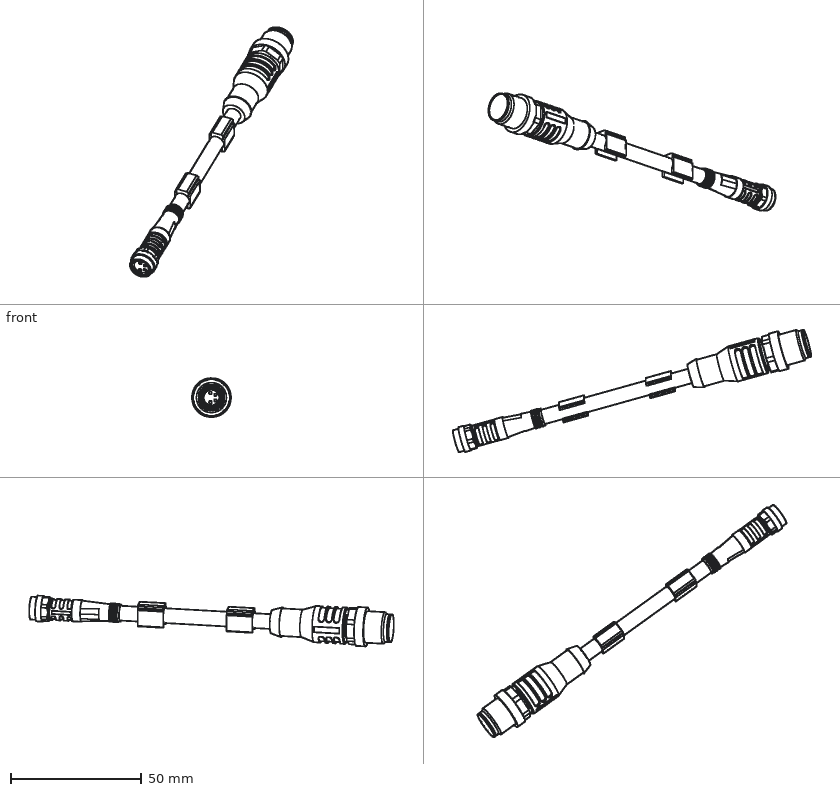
import cadquery as cq
import math

LENGTH = 140.6
CABLE_DIA = 5.8

PLUG_TIP_DIA = 10.8
PLUG_TIP_GROOVE_DIA = 10.3
PLUG_TIP_LAND = 0.4
PLUG_TIP_LENGTH = 2.1
PLUG_THREAD_DIA = 12.2
PLUG_THREAD_CHAMFER = (PLUG_THREAD_DIA - PLUG_TIP_DIA) / 2
PLUG_COLLAR_DIA = 15.0
PLUG_COLLAR_FRONT = 130.9
PLUG_COLLAR_BACK = 127.4
PLUG_HEX_BACK = 124.3
PLUG_HEX_FLATS = 13.2
PLUG_HEX_DIA = 14.3
PLUG_NECK_DIA = 8.7
PLUG_GRIP_DIA = 14.0
PLUG_GRIP_FRONT = 123.2
PLUG_GRIP_BACK = 111.0
PLUG_GRIP_CHAMFER = 0.4
PLUG_SLEEVE_DIA = 10.7
PLUG_SLEEVE_FRONT = 105.9
PLUG_FLANGE_DIA = 11.5
PLUG_FLANGE_Y = 97.9
PLUG_TAIL_DIA = 9.1
PLUG_BACK = 93.9

SOCKET_RING_DIA = 8.9
SOCKET_COLLAR_DIA = 10.0
SOCKET_COLLAR_FRONT = 2.4
SOCKET_COLLAR_BACK = 4.6
SOCKET_HEX_FLATS = 8.9
SOCKET_HEX_DIA = 9.5
SOCKET_HEX_BACK = 7.3
SOCKET_HEX_CHAMFER = 0.4
SOCKET_NECK_DIA = 8.0
SOCKET_NECK_LENGTH = 0.5
SOCKET_GRIP_DIA = 8.3
SOCKET_GRIP_BACK = 16.6
SOCKET_SHOULDER_DIA = 8.5
SOCKET_SHOULDER_BACK = 19.8
SOCKET_CONE_DIA = 8.0
SOCKET_TAIL_DIA = 6.5
SOCKET_TAIL_Y = 31.0
SOCKET_BACK = 34.9

MOUTH_DIA = 8.0
BORE_DIA = 7.2
BORE_DEPTH = 4.2
INSERT_DIA = 5.9
INSERT_SETBACK = 0.7
CONTACT_DEPTH = 2.8
CONTACT_RADIUS = 1.8
CONTACTS = [(1.0, 35.0), (1.1, 103.0)]

GRIP_SLOT_COUNT = 3
PLUG_SLOT_MIDDLE = 117.3
PLUG_SLOT_PITCH = 3.0
PLUG_SLOT_WIDTH = 2.2
PLUG_SLOT_END_Z = 3.0
PLUG_SLOT_DEPTH = 0.5
PLUG_WINDOW_MIDDLE = 116.5
PLUG_WINDOW_LENGTH = 9.8
PLUG_WINDOW_HEIGHT = 2.2
SOCKET_SLOT_MIDDLE = 12.4
SOCKET_SLOT_PITCH = 3.1
SOCKET_SLOT_WIDTH = 1.5
SOCKET_SLOT_END_Z = 1.5
SOCKET_SLOT_DEPTH = 0.4
SOCKET_WINDOW_MIDDLE = 12.5
SOCKET_WINDOW_LENGTH = 7.6
SOCKET_WINDOW_HEIGHT = 1.3
WINDOW_DEPTH = 0.4

ROOF_BACK = 27.0
ROOF_HALF_HEIGHT = 3.1
ROOF_DROP = 0.8
ROOF_STEP = 0.1

RELIEF_RING_DIA = 7.2
RELIEF_RING_WIDTH = 0.5
RELIEF_RING_COUNT = 3
RELIEF_RING_PITCH = 1.3
RELIEF_RIB_DIA = 6.7
RELIEF_RIB_WIDTH_X = 1.4
RELIEF_RIB_WIDTH_Z = 2.2

CLIP_CENTRES = [47.1, 81.8]
CLIP_LENGTH = 10.0
CLIP_HALF_WIDTH = 3.2
CLIP_TOP_HALF_WIDTH = 1.8
CLIP_TOP = 4.5
CLIP_TOP_SLOPE = 0.4
CLIP_CAP_HALF_WIDTH = 2.7
CLIP_SHOULDER = 3.2
CLIP_LEDGE = 2.5
CLIP_GROOVE_DEPTH = 0.8
CLIP_BOTTOM = -4.1
CLIP_BOTTOM_CHAMFER = 0.4
CLIP_CHANNEL_HALF_WIDTH = 2.1


def turned(profile):
    """Solid of revolution about Y from (diameter, y) pairs."""
    points = [(diameter / 2, y) for diameter, y in profile]
    outline = [(0, profile[0][1])] + points + [(0, profile[-1][1])]
    return cq.Workplane("XY").polyline(outline).close().revolve(360, (0, 0, 0), (0, 1, 0))


def cylinder(diameter, y_start, y_end):
    return turned([(diameter, y_start), (diameter, y_end)])


def tube(outer, inner, y_start, y_end):
    return cylinder(outer, y_start, y_end).cut(cylinder(inner, y_start, y_end))


def block(size_x, size_y, size_z, x, y, z):
    return cq.Workplane("XY").box(size_x, size_y, size_z).translate((x, y, z))


def prism(points, y_start, y_end):
    """Extrude an (x, z) outline from y_start to y_end."""
    plane = cq.Workplane("XZ", origin=(0, y_end, 0))
    return plane.polyline(points).close().extrude(y_end - y_start)


def hexagon(flats, y_start, y_end):
    """Hexagonal prism with flats facing -X and +X."""
    corner_radius = flats / math.sqrt(3)
    angles = [math.radians(30 + 60 * i) for i in range(6)]
    points = [(corner_radius * math.cos(a), corner_radius * math.sin(a)) for a in angles]
    return prism(points, y_start, y_end)


def grip_slots(grip_dia, middle, pitch, width, end_z, depth):
    """Shallow grooves above and below the grip with rounded ends at height end_z."""
    first = middle - pitch * (GRIP_SLOT_COUNT - 1) / 2
    span = pitch * GRIP_SLOT_COUNT
    centre_z = end_z + grip_dia / 2
    shell = tube(2 * grip_dia, grip_dia - 2 * depth, middle - span, middle + span)
    centres = [
        (first + i * pitch, side * centre_z)
        for i in range(GRIP_SLOT_COUNT)
        for side in (-1, 1)
    ]
    sketch = cq.Workplane("YZ").pushPoints(centres)
    slots = sketch.slot2D(grip_dia, width, 90).extrude(grip_dia, both=True)
    return shell.intersect(slots)


def grip_windows(grip_dia, middle, length, height):
    """Flat-bottomed rectangular recesses on the -X and +X sides of the grip."""
    x = grip_dia / 2 - WINDOW_DEPTH + grip_dia / 4
    left = block(grip_dia / 2, length, height, -x, middle, 0)
    right = block(grip_dia / 2, length, height, x, middle, 0)
    return left.union(right)


def plug():
    tip_back = LENGTH - PLUG_TIP_LENGTH
    groove_front = LENGTH - PLUG_TIP_LAND
    groove_back = groove_front - PLUG_TIP_LAND
    body = turned([
        (PLUG_TAIL_DIA, PLUG_BACK),
        (PLUG_FLANGE_DIA, PLUG_FLANGE_Y),
        (PLUG_SLEEVE_DIA, PLUG_FLANGE_Y),
        (PLUG_SLEEVE_DIA, PLUG_SLEEVE_FRONT),
        (PLUG_GRIP_DIA, PLUG_GRIP_BACK),
        (PLUG_GRIP_DIA, PLUG_GRIP_FRONT - PLUG_GRIP_CHAMFER),
        (PLUG_GRIP_DIA - 2 * PLUG_GRIP_CHAMFER, PLUG_GRIP_FRONT),
        (PLUG_NECK_DIA, PLUG_GRIP_FRONT),
        (PLUG_NECK_DIA, PLUG_COLLAR_BACK),
        (PLUG_COLLAR_DIA, PLUG_COLLAR_BACK),
        (PLUG_COLLAR_DIA, PLUG_COLLAR_FRONT),
        (PLUG_THREAD_DIA, PLUG_COLLAR_FRONT),
        (PLUG_THREAD_DIA, tip_back - PLUG_THREAD_CHAMFER),
        (PLUG_TIP_DIA, tip_back),
        (PLUG_TIP_DIA, groove_back),
        (PLUG_TIP_GROOVE_DIA, groove_back),
        (PLUG_TIP_GROOVE_DIA, groove_front),
        (PLUG_TIP_DIA, groove_front),
        (PLUG_TIP_DIA, LENGTH),
    ])
    nut = hexagon(PLUG_HEX_FLATS, PLUG_HEX_BACK, PLUG_COLLAR_BACK)
    nut = nut.intersect(cylinder(PLUG_HEX_DIA, PLUG_HEX_BACK, PLUG_COLLAR_BACK))
    slots = grip_slots(
        PLUG_GRIP_DIA,
        PLUG_SLOT_MIDDLE,
        PLUG_SLOT_PITCH,
        PLUG_SLOT_WIDTH,
        PLUG_SLOT_END_Z,
        PLUG_SLOT_DEPTH,
    )
    windows = grip_windows(
        PLUG_GRIP_DIA, PLUG_WINDOW_MIDDLE, PLUG_WINDOW_LENGTH, PLUG_WINDOW_HEIGHT
    )
    return body.union(nut).cut(slots).cut(windows)


def roof_recess():
    """Cutter for the -X side that leaves two tapering planes meeting at a ridge on Z = 0."""
    outside = -SOCKET_SHOULDER_DIA
    taper = (SOCKET_CONE_DIA - SOCKET_TAIL_DIA) / (SOCKET_TAIL_Y - SOCKET_SHOULDER_BACK)
    length = ROOF_BACK - SOCKET_SHOULDER_BACK
    front_ridge = SOCKET_CONE_DIA / 2
    back_ridge = front_ridge - taper * length / 2 - ROOF_STEP

    def outline(ridge):
        return [
            (-ridge, 0),
            (ROOF_DROP - ridge, ROOF_HALF_HEIGHT),
            (outside, ROOF_HALF_HEIGHT),
            (outside, -ROOF_HALF_HEIGHT),
            (ROOF_DROP - ridge, -ROOF_HALF_HEIGHT),
        ]

    back = cq.Workplane("XZ", origin=(0, ROOF_BACK, 0)).polyline(outline(back_ridge)).close()
    front = back.workplane(offset=length).polyline(outline(front_ridge)).close()
    return front.loft(ruled=True, combine=True)


def strain_relief():
    """Rings around the cable exit joined by four ribs along Y."""
    length = SOCKET_BACK - SOCKET_TAIL_Y
    middle = (SOCKET_BACK + SOCKET_TAIL_Y) / 2
    relief = cylinder(SOCKET_TAIL_DIA, SOCKET_TAIL_Y, SOCKET_BACK)
    for i in range(RELIEF_RING_COUNT):
        y = SOCKET_TAIL_Y + RELIEF_RING_PITCH * i
        relief = relief.union(cylinder(RELIEF_RING_DIA, y, y + RELIEF_RING_WIDTH))
    ribs = block(RELIEF_RIB_WIDTH_X, length, RELIEF_RING_DIA, 0, middle, 0)
    ribs = ribs.union(block(RELIEF_RING_DIA, length, RELIEF_RIB_WIDTH_Z, 0, middle, 0))
    envelope = cylinder(RELIEF_RIB_DIA, SOCKET_TAIL_Y, SOCKET_BACK)
    return relief.union(ribs.intersect(envelope))


def socket_mouth():
    """Chamfered bore around the contact insert, with the four contact holes."""
    mouth_chamfer = (MOUTH_DIA - BORE_DIA) / 2
    bore = turned([(MOUTH_DIA, 0), (BORE_DIA, mouth_chamfer), (BORE_DIA, BORE_DEPTH)])
    cavity = bore.cut(cylinder(INSERT_DIA, INSERT_SETBACK, BORE_DEPTH))
    for hole_dia, angle in CONTACTS:
        x = CONTACT_RADIUS * math.cos(math.radians(angle))
        z = CONTACT_RADIUS * math.sin(math.radians(angle))
        hole = cylinder(hole_dia, 0, INSERT_SETBACK + CONTACT_DEPTH)
        cavity = cavity.union(hole.translate((x, 0, z))).union(hole.translate((x, 0, -z)))
    return cavity


def socket():
    neck_back = SOCKET_HEX_BACK + SOCKET_NECK_LENGTH
    body = turned([
        (SOCKET_RING_DIA, 0),
        (SOCKET_RING_DIA, SOCKET_COLLAR_FRONT),
        (SOCKET_COLLAR_DIA, SOCKET_COLLAR_FRONT),
        (SOCKET_COLLAR_DIA, SOCKET_COLLAR_BACK),
        (SOCKET_NECK_DIA, SOCKET_COLLAR_BACK),
        (SOCKET_NECK_DIA, neck_back),
        (SOCKET_GRIP_DIA, neck_back),
        (SOCKET_GRIP_DIA, SOCKET_GRIP_BACK),
        (SOCKET_SHOULDER_DIA, SOCKET_GRIP_BACK),
        (SOCKET_SHOULDER_DIA, SOCKET_SHOULDER_BACK),
        (SOCKET_CONE_DIA, SOCKET_SHOULDER_BACK),
        (SOCKET_TAIL_DIA, SOCKET_TAIL_Y),
    ])
    nut = hexagon(SOCKET_HEX_FLATS, SOCKET_COLLAR_BACK, SOCKET_HEX_BACK)
    nut = nut.intersect(turned([
        (SOCKET_HEX_DIA, SOCKET_COLLAR_BACK),
        (SOCKET_HEX_DIA, SOCKET_HEX_BACK - SOCKET_HEX_CHAMFER),
        (SOCKET_HEX_DIA - 2 * SOCKET_HEX_CHAMFER, SOCKET_HEX_BACK),
    ]))
    slots = grip_slots(
        SOCKET_GRIP_DIA,
        SOCKET_SLOT_MIDDLE,
        SOCKET_SLOT_PITCH,
        SOCKET_SLOT_WIDTH,
        SOCKET_SLOT_END_Z,
        SOCKET_SLOT_DEPTH,
    )
    windows = grip_windows(
        SOCKET_GRIP_DIA, SOCKET_WINDOW_MIDDLE, SOCKET_WINDOW_LENGTH, SOCKET_WINDOW_HEIGHT
    )
    recess = roof_recess()
    body = body.union(nut).cut(slots).cut(windows)
    body = body.cut(recess).cut(recess.mirror("YZ"))
    return body.union(strain_relief()).cut(socket_mouth())


def label_clip(centre):
    """Clip on the cable, open below, with sloped top edges and an undercut groove along each side."""
    groove_x = CLIP_HALF_WIDTH - CLIP_GROOVE_DEPTH
    right_side = [
        (CLIP_CHANNEL_HALF_WIDTH, 0),
        (CLIP_CHANNEL_HALF_WIDTH, CLIP_BOTTOM),
        (CLIP_HALF_WIDTH - CLIP_BOTTOM_CHAMFER, CLIP_BOTTOM),
        (CLIP_HALF_WIDTH, CLIP_BOTTOM + CLIP_BOTTOM_CHAMFER),
        (CLIP_HALF_WIDTH, CLIP_LEDGE),
        (groove_x, CLIP_LEDGE),
        (groove_x, CLIP_SHOULDER),
        (CLIP_CAP_HALF_WIDTH, CLIP_SHOULDER),
        (CLIP_CAP_HALF_WIDTH, CLIP_TOP - CLIP_TOP_SLOPE),
        (CLIP_TOP_HALF_WIDTH, CLIP_TOP),
    ]
    left_side = [(-x, z) for x, z in reversed(right_side)]
    return prism(right_side + left_side, centre - CLIP_LENGTH / 2, centre + CLIP_LENGTH / 2)


result = cylinder(CABLE_DIA, SOCKET_TAIL_Y, PLUG_FLANGE_Y)
result = result.union(plug()).union(socket())
for clip_centre in CLIP_CENTRES:
    result = result.union(label_clip(clip_centre))